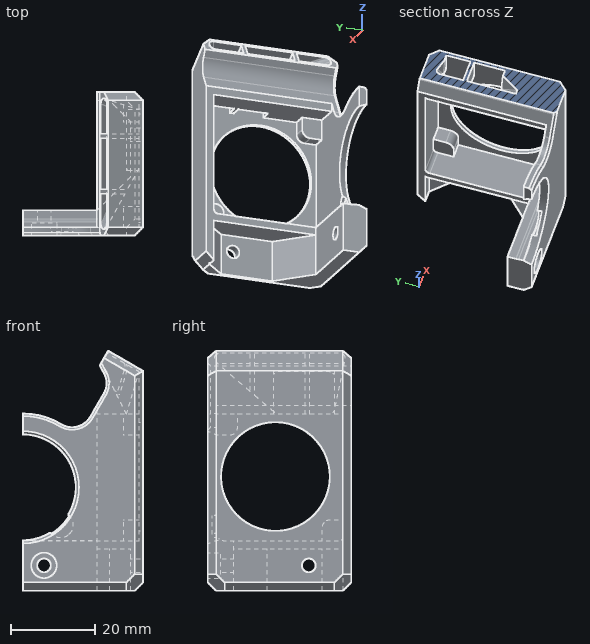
import cadquery as cq
import math

LENGTH_X = 28.5
DEPTH_Y = 34.0
HEIGHT_Z = 56.85

WALL = 2.0
THIN_WALL = 1.0
LIP = 0.6
HOUSING_X = 17.5
TILT = math.radians(60)

RING_Z = 24.5
RING_RADIUS = 12.5
RING_FRONT_RADIUS = 13.3
RING_OUTER_RADIUS = 17.5

BLEND_RADIUS = 5.0
THROAT_START_Z = 46.7
TIP_LOW_Z = 53.35

STRIP_Y = 6.0
SCREW_DIAMETER = 3.2
SCREW_HEAD_DIAMETER = 6.0
SCREW_HEAD_DEPTH = 3.0
STRIP_SCREW_X = 5.0
SCREW_Z = 6.0
WALL_SCREW_Y = 23.95

POCKET_FLOOR_Z = 11.9
POCKET_FAR_RADIUS = 1.0
POCKET_NEAR_RADIUS = 2.0
FAN_HOLE_DIAMETER = 25.7
FAN_HOLE_Y = 16.05
FAN_HOLE_Z = 27.05
POST_SIZE = 5.0
POST_LENGTH = 3.65
POST_RADIUS = 2.0

CAVITY_TOP_Z = 10.0
CAVITY_FLOOR_X = 25.5
CAVITY_FAR_BEVEL = 5.0

SLOT_LENGTH = 30.95
SLOT_RADIUS = 1.25
RIB_THICKNESS = 1.0
RIB_OFFSET = 6.55
OUTLET_FRONT_X = 24.45
OUTLET_NEAR_Y = 15.45
OUTLET_FAR_Y = 29.95

middle_y = DEPTH_Y / 2
inner_far_y = DEPTH_Y - WALL
pocket_top_z = POCKET_FLOOR_Z + inner_far_y - WALL
pocket_floor_x = LENGTH_X - THIN_WALL
cos_t, sin_t = math.cos(TILT), math.sin(TILT)
tan_t = math.tan(TILT)

flank_low = (HOUSING_X, pocket_top_z + WALL)
throat_low = (HOUSING_X + (THROAT_START_Z - flank_low[1]) / tan_t, THROAT_START_Z)
throat_high = (throat_low[0], THROAT_START_Z + 2 * BLEND_RADIUS * cos_t)
throat_mid = (throat_low[0] + BLEND_RADIUS * (1 - sin_t), THROAT_START_Z + BLEND_RADIUS * cos_t)
tip_low = (throat_high[0] - (TIP_LOW_Z - throat_high[1]) / tan_t, TIP_LOW_Z)
tip_high = (tip_low[0] + (HEIGHT_Z - TIP_LOW_Z) / tan_t, HEIGHT_Z)
roof_end = (LENGTH_X, HEIGHT_Z - (LENGTH_X - tip_high[0]) / tan_t)


def block(x0, x1, y0, y1, z0, z1):
    return cq.Workplane("XY").box(x1 - x0, y1 - y0, z1 - z0, centered=False).translate((x0, y0, z0))


def side_sketch():
    """XZ plane at the front; its normal is -Y, so extrude_back reverses it."""
    return cq.Workplane(cq.Plane((0, 0, 0), (1, 0, 0), (0, -1, 0)))


def extrude_back(wire, y0, y1):
    return wire.close().extrude(y0 - y1).translate((0, y0, 0))


def y_cylinder(x, z, radius, y0, y1):
    return cq.Workplane(cq.Solid.makeCylinder(radius, y1 - y0, cq.Vector(x, y0, z), cq.Vector(0, 1, 0)))


def x_cylinder(y, z, radius, x0, x1):
    return cq.Workplane(cq.Solid.makeCylinder(radius, x1 - x0, cq.Vector(x0, y, z), cq.Vector(1, 0, 0)))


def draw_head(wire):
    """Continue a profile from the flank round the throat, tip and roof to the foot of the back wall."""
    return (
        wire.lineTo(*throat_low)
        .threePointArc(throat_mid, throat_high)
        .lineTo(*tip_low)
        .lineTo(*tip_high)
        .lineTo(*roof_end)
        .lineTo(LENGTH_X, 0)
    )


def plate():
    base = (flank_low[0] - BLEND_RADIUS * sin_t, flank_low[1] + BLEND_RADIUS * cos_t - RING_Z)
    reach = RING_OUTER_RADIUS + BLEND_RADIUS
    along = base[0] * cos_t + base[1] * sin_t
    step = -along + math.sqrt(along**2 - base[0] ** 2 - base[1] ** 2 + reach**2)
    centre = (base[0] + step * cos_t, RING_Z + base[1] + step * sin_t)
    ring_angle = math.atan2(centre[1] - RING_Z, centre[0])

    def on_ring(angle):
        return (RING_OUTER_RADIUS * math.cos(angle), RING_Z + RING_OUTER_RADIUS * math.sin(angle))

    def on_blend(angle):
        return (centre[0] + BLEND_RADIUS * math.cos(angle), centre[1] + BLEND_RADIUS * math.sin(angle))

    start_angle = ring_angle - math.pi
    end_angle = TILT - math.pi / 2
    wire = (
        side_sketch()
        .moveTo(0, 0)
        .lineTo(0, RING_Z + RING_OUTER_RADIUS)
        .threePointArc(on_ring((ring_angle + math.pi / 2) / 2), on_ring(ring_angle))
        .threePointArc(on_blend((start_angle + end_angle) / 2), on_blend(end_angle))
    )
    body = extrude_back(draw_head(wire), 0, WALL)
    box_low = (LIP, -LIP, centre[1] - BLEND_RADIUS - LIP)
    box_high = (tip_high[0] + LIP, LIP, tip_low[1])
    free_edge = cq.selectors.BoxSelector(box_low, box_high)
    return body.faces("<Y").edges(free_edge).chamfer(LIP)


def strip():
    """Thick bottom strip; the near pocket corner arc runs on along it, up to the ring bore."""
    step_z = RING_Z - RING_RADIUS
    arc_y = WALL + POCKET_NEAR_RADIUS
    arc_z = POCKET_FLOOR_Z + POCKET_NEAR_RADIUS
    step_y = arc_y - math.sqrt(POCKET_NEAR_RADIUS**2 - (arc_z - step_z) ** 2)
    half_angle = math.asin((arc_y - step_y) / POCKET_NEAR_RADIUS) / 2
    arc_middle = (
        arc_y - POCKET_NEAR_RADIUS * math.sin(half_angle),
        arc_z - POCKET_NEAR_RADIUS * math.cos(half_angle),
    )
    return (
        cq.Workplane("YZ")
        .lineTo(0, step_z)
        .lineTo(step_y, step_z)
        .threePointArc(arc_middle, (arc_y, POCKET_FLOOR_Z))
        .lineTo(STRIP_Y, POCKET_FLOOR_Z)
        .lineTo(STRIP_Y, 0)
        .close()
        .extrude(HOUSING_X)
    )


def housing():
    wire = draw_head(side_sketch().moveTo(HOUSING_X, 0).lineTo(*flank_low))
    return extrude_back(wire, WALL, DEPTH_Y)


def bevels():
    """Cutting blocks for the large edge bevels, one beyond each bevel plane (point, outward normal)."""
    block_size = 3 * HEIGHT_Z
    planes = [((LENGTH_X - WALL, 0, 0), (1, 0, -1))]
    for y, outward in ((WALL, -1), (inner_far_y, 1)):
        planes += [
            ((0, y, 0), (0, outward, -1)),
            ((LENGTH_X, y, 0), (1, outward, 0)),
            ((tip_high[0], y, HEIGHT_Z), (cos_t, outward, sin_t)),
            ((LENGTH_X, y, 2 * WALL), (1, outward, -1)),
        ]
    return [
        cq.Workplane(cq.Plane(point, normal=normal)).rect(block_size, block_size).extrude(block_size)
        for point, normal in planes
    ]


def pocket():
    space = block(HOUSING_X, pocket_floor_x, WALL, inner_far_y, POCKET_FLOOR_Z, pocket_top_z)
    space = space.edges("|X and <Z and >Y").fillet(POCKET_FAR_RADIUS)
    space = space.edges("|X and <Z and <Y").fillet(POCKET_NEAR_RADIUS)
    start_x = pocket_floor_x - POST_LENGTH
    far_post = block(
        start_x, LENGTH_X, inner_far_y - POST_SIZE, DEPTH_Y, 0, POCKET_FLOOR_Z + POST_SIZE
    ).edges("|X and >Z and <Y").fillet(POST_RADIUS)
    near_post = block(
        start_x, LENGTH_X, 0, WALL + POST_SIZE, pocket_top_z - POST_SIZE, HEIGHT_Z
    ).edges("|X and <Z and >Y").fillet(POST_RADIUS)
    return space.cut(far_post).cut(near_post)


def lower_cavity():
    """Open at the bottom, with a 45 degree bevel at the far side and a 45 degree ramp at the near side."""
    ramp = CAVITY_FLOOR_X - HOUSING_X
    return (
        cq.Workplane("XY")
        .moveTo(HOUSING_X, STRIP_Y)
        .lineTo(CAVITY_FLOOR_X, STRIP_Y + ramp)
        .lineTo(CAVITY_FLOOR_X, inner_far_y - CAVITY_FAR_BEVEL)
        .lineTo(CAVITY_FLOOR_X - CAVITY_FAR_BEVEL, inner_far_y)
        .lineTo(HOUSING_X, inner_far_y)
        .close()
        .extrude(CAVITY_TOP_Z)
    )


def ring_opening():
    """Cone through the plate, and a screw head recess cut into its inner rim at 45 degrees."""
    cone = cq.Solid.makeCone(
        RING_FRONT_RADIUS, RING_RADIUS, WALL, cq.Vector(0, 0, RING_Z), cq.Vector(0, 1, 0)
    )
    reach = RING_RADIUS * math.sqrt(0.5)
    recess = y_cylinder(reach, RING_Z - reach, SCREW_HEAD_DIAMETER / 2, WALL / 2, WALL)
    return cq.Workplane(cone).union(recess)


def screw_holes():
    radius = SCREW_DIAMETER / 2
    strip_hole = y_cylinder(STRIP_SCREW_X, SCREW_Z, radius, 0, STRIP_Y)
    head = y_cylinder(STRIP_SCREW_X, SCREW_Z, SCREW_HEAD_DIAMETER / 2, 0, SCREW_HEAD_DEPTH)
    wall_hole = x_cylinder(WALL_SCREW_Y, SCREW_Z, radius, HOUSING_X, LENGTH_X)
    return strip_hole.union(head).union(wall_hole)


def duct_section(low, high, near_y, far_y):
    """Rounded rectangle between two (x, z) points, tilted about the Y axis."""
    rise_x, rise_z = high[0] - low[0], high[1] - low[1]
    centre = ((low[0] + high[0]) / 2, (near_y + far_y) / 2, (low[1] + high[1]) / 2)
    plane = cq.Plane(centre, (0, 1, 0), (rise_z, 0, -rise_x))
    section = cq.Sketch().rect(far_y - near_y, math.hypot(rise_x, rise_z)).vertices().fillet(SLOT_RADIUS)
    return section.moved(plane.location)


def air_duct():
    """Channel narrowing from the nozzle slot to an outlet in the pocket top, split by two ribs."""
    rim_x, rim_z = LIP * cos_t, LIP * sin_t
    slot_low = (tip_low[0] + rim_x, tip_low[1] + rim_z)
    slot_high = (tip_high[0] - rim_x, tip_high[1] - rim_z)
    outlet_low = (OUTLET_FRONT_X, pocket_top_z)
    outlet_high = (pocket_floor_x, slot_high[1] - (pocket_floor_x - slot_high[0]) / tan_t)

    slot = duct_section(slot_low, slot_high, middle_y - SLOT_LENGTH / 2, middle_y + SLOT_LENGTH / 2)
    neck = duct_section(outlet_low, outlet_high, OUTLET_NEAR_Y, OUTLET_FAR_Y)
    channel = cq.Workplane("XY").placeSketch(slot, neck).loft(ruled=True)

    outlet = side_sketch().moveTo(*outlet_low).lineTo(*outlet_high).lineTo(pocket_floor_x, pocket_top_z)
    duct = channel.union(extrude_back(outlet, OUTLET_NEAR_Y, OUTLET_FAR_Y))
    for rib_y in (middle_y - RIB_OFFSET, middle_y + RIB_OFFSET):
        near_y, far_y = rib_y - RIB_THICKNESS / 2, rib_y + RIB_THICKNESS / 2
        duct = duct.cut(block(HOUSING_X, LENGTH_X, near_y, far_y, pocket_top_z, HEIGHT_Z))
    return duct


def fan_hole():
    return x_cylinder(FAN_HOLE_Y, FAN_HOLE_Z, FAN_HOLE_DIAMETER / 2, pocket_floor_x, LENGTH_X)


result = plate().union(housing()).union(strip())
for bevel in bevels():
    result = result.cut(bevel)
for opening in (pocket(), lower_cavity(), ring_opening(), screw_holes(), fan_hole(), air_duct()):
    result = result.cut(opening)